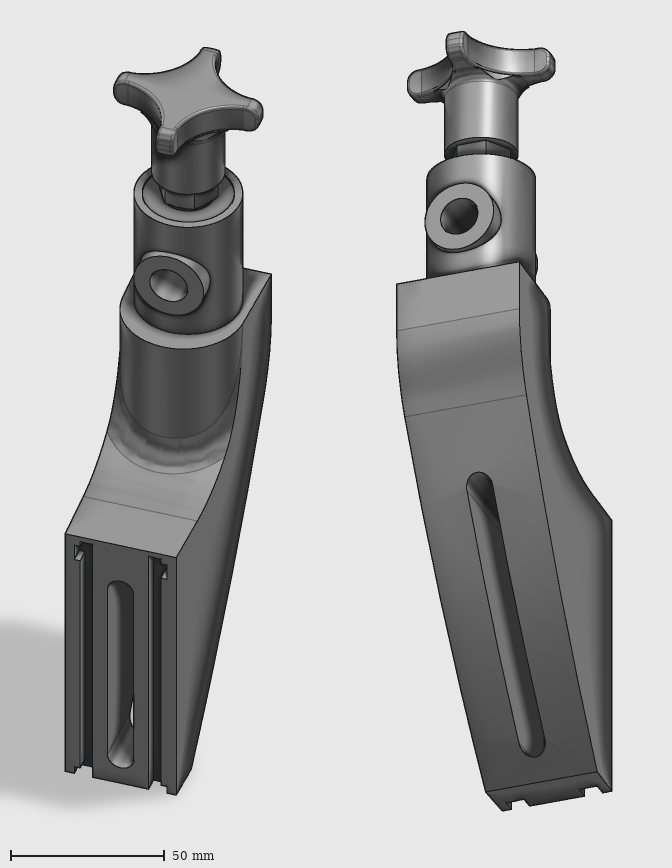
import cadquery as cq
import math


bracket_height = 150.0
bracket_length = 90.0
front_y = -68.85
back_y = front_y + bracket_length
front_width = 38.2
back_width = 42.8
foot_height = 100.0
foot_top_length = 20.0
throat_radius = 52.0
boss_tangent_y = -5.4
toe_length = 14.3
back_bend_start_z = 132.7
back_bend_radius = 62.0
back_bend_angle = 27.2
boss_fillet = 10.0

slot_width = 9.0
slot_bottom = 6.5
slot_top = 85.0

groove_inner_x = 9.6
groove_outer_x = 13.9
groove_depth = 5.0
groove_top = 98.0
pocket_outer_x = 15.9
pocket_bottom = 90.0
pocket_top = 96.0
mouth_height = 2.8

sleeve_diameter = 35.5
sleeve_height = 45.0
sleeve_bottom = bracket_height
sleeve_top = sleeve_bottom + sleeve_height
core_diameter = 30.0
core_recess = 0.7

tube_diameter = 24.0
tube_bore = 13.0
tube_length = 40.0
tube_z = 171.5

nut_sides = 6
nut_flats = 17.7
nut_chamfer_angle = 30.0
nut_collar_diameter = 17.0
nut_collar_bottom = sleeve_top - core_recess
nut_bottom = 195.5
nut_top = 204.2

knob_top = 238.4
knob_diameter = 50.0
knob_head_height = 10.0
knob_head_bottom = knob_top - knob_head_height
knob_rim_round = 4.0
hub_diameter = 24.0
hub_fillet = 3.5
arm_width = 6.0
arm_side_radius = 19.7
scallop_radius = 20.0
arm_edge_round = 1.0


def half_width(y):
    """Half the bracket width at y; the sides close up towards the front."""
    share = (y - front_y) / bracket_length
    return (front_width + share * (back_width - front_width)) / 2


def make_bracket():
    """Curved bracket: tapering sides, hollow throat in front, round boss on top."""
    throat_start_y = front_y + foot_top_length

    def throat_point(y):
        reach = y - throat_start_y
        return (y, foot_height + throat_radius - math.sqrt(throat_radius**2 - reach**2))

    bend = math.radians(back_bend_angle)

    def bend_point(angle):
        return (
            back_y - back_bend_radius * (1 - math.cos(angle)),
            back_bend_start_z - back_bend_radius * math.sin(angle),
        )

    profile = (
        cq.Workplane("YZ")
        .moveTo(front_y, 0)
        .lineTo(front_y, foot_height)
        .lineTo(throat_start_y, foot_height)
        .threePointArc(throat_point((throat_start_y + boss_tangent_y) / 2), throat_point(boss_tangent_y))
        .lineTo(boss_tangent_y, bracket_height)
        .lineTo(back_y, bracket_height)
        .lineTo(back_y, back_bend_start_z)
        .threePointArc(bend_point(bend / 2), bend_point(bend))
        .tangentArcPoint((front_y + toe_length, 0), relative=False)
        .close()
        .extrude(back_width, both=True)
    )
    plan = (
        cq.Workplane("XY")
        .polyline(
            [
                (-front_width / 2, front_y),
                (front_width / 2, front_y),
                (back_width / 2, back_y),
                (-back_width / 2, back_y),
            ]
        )
        .close()
        .extrude(bracket_height)
    )
    body = profile.intersect(plan)
    side_slope = math.atan2((back_width - front_width) / 2, bracket_length)
    boss_radius = half_width(boss_tangent_y) / math.cos(side_slope)
    boss_centre_y = boss_tangent_y + boss_radius * math.sin(side_slope)
    tangent_x = half_width(boss_tangent_y)
    boss = (
        cq.Workplane("XY", origin=(0, 0, foot_height))
        .moveTo(-tangent_x, boss_tangent_y)
        .threePointArc((0, boss_centre_y - boss_radius), (tangent_x, boss_tangent_y))
        .close()
        .extrude(bracket_height - foot_height)
    )
    boss_root = cq.selectors.BoxSelector(
        (-boss_radius / 2, boss_centre_y - boss_radius, foot_height),
        (boss_radius / 2, boss_tangent_y, throat_point(boss_tangent_y)[1]),
    )
    body = body.union(boss).edges(boss_root).fillet(boss_fillet)
    return body.cut(make_slot()).cut(make_grooves())


def make_slot():
    slot_length = slot_top - slot_bottom
    return (
        cq.Workplane("XZ", origin=(0, back_y, slot_bottom + slot_length / 2))
        .slot2D(slot_length, slot_width, 90)
        .extrude(bracket_length)
    )


def groove_box(side, outer_x, bottom, top):
    """Recess in the front face, from the rail out to outer_x, on the given side (-1 or 1)."""
    width = outer_x - groove_inner_x
    return cq.Workplane("XY").box(width, groove_depth, top - bottom).translate(
        (side * (groove_inner_x + width / 2), front_y + groove_depth / 2, (bottom + top) / 2)
    )


def make_grooves():
    grooves = cq.Workplane("XY")
    for side in (-1, 1):
        grooves = (
            grooves.union(groove_box(side, groove_outer_x, 0, groove_top))
            .union(groove_box(side, pocket_outer_x, pocket_bottom, pocket_top))
            .union(groove_box(side, pocket_outer_x, 0, mouth_height))
        )
    return grooves


def tube_cylinder():
    return (
        cq.Workplane("XZ", origin=(0, tube_length / 2, tube_z))
        .circle(tube_diameter / 2)
        .extrude(tube_length)
    )


def make_sleeve():
    return (
        cq.Workplane("XY", origin=(0, 0, sleeve_bottom))
        .circle(sleeve_diameter / 2)
        .circle(core_diameter / 2)
        .extrude(sleeve_height)
        .cut(tube_cylinder())
    )


def make_core():
    return (
        cq.Workplane("XY", origin=(0, 0, sleeve_bottom))
        .circle(core_diameter / 2)
        .extrude(sleeve_height - core_recess)
        .cut(tube_cylinder())
    )


def make_tube():
    return tube_cylinder().faces("<Y").workplane().circle(tube_bore / 2).cutThruAll()


def make_nut():
    """Hexagon with corners on the X axis, bevelled lower corners and a round collar below."""
    flat_radius = nut_flats / 2
    corner_radius = flat_radius / math.cos(math.pi / nut_sides)
    bevel_height = (corner_radius - flat_radius) * math.tan(math.radians(nut_chamfer_angle))
    hexagon = (
        cq.Workplane("XY", origin=(0, 0, nut_bottom))
        .polygon(nut_sides, 2 * corner_radius)
        .extrude(nut_top - nut_bottom)
    )
    bevel = (
        cq.Workplane("XZ")
        .moveTo(0, nut_bottom)
        .lineTo(flat_radius, nut_bottom)
        .lineTo(corner_radius, nut_bottom + bevel_height)
        .lineTo(corner_radius, nut_top)
        .lineTo(0, nut_top)
        .close()
        .revolve(360, (0, 0), (0, 1))
    )
    collar = (
        cq.Workplane("XY", origin=(0, 0, nut_collar_bottom))
        .circle(nut_collar_diameter / 2)
        .extrude(nut_bottom - nut_collar_bottom)
    )
    return hexagon.intersect(bevel).union(collar)


def cut_scallops(body, bottom):
    """Cut the four hollows between the arms, from the given height up."""
    half_arm = arm_width / 2
    middle = (arm_side_radius + half_arm) / 2
    half_chord = (arm_side_radius - half_arm) / math.sqrt(2)
    sagitta = scallop_radius - math.sqrt(scallop_radius**2 - half_chord**2)
    deepest = middle - sagitta / math.sqrt(2)
    outside = knob_diameter
    scallop = (
        cq.Workplane("XY", origin=(0, 0, bottom))
        .moveTo(outside, half_arm)
        .lineTo(arm_side_radius, half_arm)
        .threePointArc((deepest, deepest), (half_arm, arm_side_radius))
        .lineTo(half_arm, outside)
        .lineTo(outside, outside)
        .close()
        .extrude(knob_top - bottom)
    )
    for quarter in range(4):
        body = body.cut(scallop.rotate((0, 0, 0), (0, 0, 1), 90 * quarter))
    return body


def make_knob_head():
    disc = (
        cq.Workplane("XY", origin=(0, 0, knob_head_bottom))
        .circle(knob_diameter / 2)
        .extrude(knob_head_height)
        .edges("%CIRCLE")
        .fillet(knob_rim_round)
    )
    star = cut_scallops(disc, knob_head_bottom)

    def bounds_scallop(edge):
        """True around a scallop, false for the arm tip arcs and the full-height corner of an arm."""
        centre = edge.Center()
        off_arm_middle = min(abs(centre.x), abs(centre.y)) > arm_width / 4
        full_height = edge.BoundingBox().zlen > knob_head_height / 2
        return off_arm_middle and not full_height

    return star.edges().filter(bounds_scallop).fillet(arm_edge_round)


def make_knob_hub():
    """Round hub that flares out under the head."""
    hub_radius = hub_diameter / 2
    flare_radius = hub_radius + hub_fillet
    flare_bottom = knob_head_bottom - hub_fillet
    diagonal = hub_fillet * (1 - math.sqrt(0.5))
    hub = (
        cq.Workplane("XZ")
        .moveTo(0, nut_top)
        .lineTo(hub_radius, nut_top)
        .lineTo(hub_radius, flare_bottom)
        .threePointArc(
            (hub_radius + diagonal, knob_head_bottom - diagonal),
            (flare_radius, knob_head_bottom),
        )
        .lineTo(0, knob_head_bottom)
        .close()
        .revolve(360, (0, 0), (0, 1))
    )
    return cut_scallops(hub, flare_bottom)


bracket = make_bracket()
sleeve = make_sleeve()
core = make_core()
tube = make_tube()
nut = make_nut()
knob = make_knob_hub().union(make_knob_head())
result = cq.Compound.makeCompound(
    [bracket.val(), sleeve.val(), core.val(), tube.val(), nut.val(), knob.val()]
)